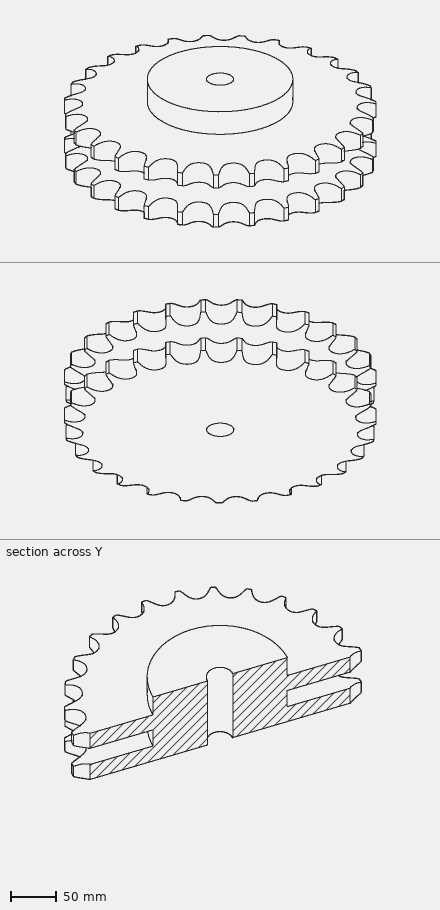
import cadquery as cq
import math


overall_width = 343.0
overall_height = 100.0
hub_diameter = 160.0
bore_diameter = 30.0

tooth_count = 27
chain_pitch = 38.0
disc_thickness = 24.0
disc_spacing = 48.5
disc_count = 2

seat_radius = 12.7
seat_angle = 52.8
working_radius = 33.3
working_angle = 15.9
flank_length = 3.5
topping_radius = 21.0
tip_land_half_angle = 0.9

side_round_start_radius = 154.3
side_round_radius = chain_pitch
blank_clearance = 1.7

tooth_step = 360.0 / tooth_count
first_tooth_angle = -90.0
pitch_radius = chain_pitch / 2 / math.sin(math.radians(tooth_step / 2))
root_radius = pitch_radius - seat_radius

tip_radius = overall_width / 2 / math.cos(math.radians(tooth_step / 4 - tip_land_half_angle))


def polar(radius, angle):
    """Point at a radius and an angle in degrees."""
    return radius * math.cos(math.radians(angle)), radius * math.sin(math.radians(angle))


def arc_step(radius, start_angle, end_angle):
    """Move across and up along a hollow arc, between two slopes in degrees."""
    start = math.radians(start_angle)
    end = math.radians(end_angle)
    return radius * (math.sin(end) - math.sin(start)), radius * (math.cos(start) - math.cos(end))


def gap_side_points():
    """Points up one side of a gap, as (distance from gap centre line, distance from axis)."""
    steep_angle = seat_angle + working_angle
    flank_slope = math.radians(steep_angle)
    moves = [
        arc_step(seat_radius, 0, seat_angle),
        arc_step(working_radius, seat_angle, seat_angle + working_angle / 2),
        arc_step(working_radius, seat_angle + working_angle / 2, steep_angle),
        (flank_length * math.cos(flank_slope), flank_length * math.sin(flank_slope)),
    ]
    across, up = 0, root_radius
    points = []
    for across_move, up_move in moves:
        across += across_move
        up += up_move
        points.append((across, up))
    return points


def place_side(points, gap_angle, side):
    """Turn gap points to a gap; side is 1 for the counterclockwise side and -1 for the other."""
    placed = []
    for across, up in points:
        turn = side * math.degrees(math.atan2(across, up))
        placed.append(polar(math.hypot(across, up), gap_angle + turn))
    return placed


def tooth_outline():
    """Closed outline of all the teeth, one gap and one tip land per step."""
    side_points = gap_side_points()
    tip_offset = tooth_step / 2 - tip_land_half_angle
    start_gap = first_tooth_angle + tooth_step / 2
    outline = cq.Workplane("XY").moveTo(*polar(tip_radius, start_gap - tip_offset))
    for index in range(tooth_count):
        gap = start_gap + index * tooth_step
        seat_end, working_middle, working_end, flank_end = place_side(side_points, gap, -1)
        outline = (
            outline
            .radiusArc(flank_end, -topping_radius)
            .lineTo(*working_end)
            .threePointArc(working_middle, seat_end)
        )
        seat_end, working_middle, working_end, flank_end = place_side(side_points, gap, 1)
        outline = (
            outline
            .threePointArc(polar(root_radius, gap), seat_end)
            .threePointArc(working_middle, working_end)
            .lineTo(*flank_end)
            .radiusArc(polar(tip_radius, gap + tip_offset), -topping_radius)
            .threePointArc(
                polar(tip_radius, gap + tooth_step / 2),
                polar(tip_radius, gap + tooth_step - tip_offset),
            )
        )
    return outline.close()


def rounded_blank():
    """Disc whose two faces curve in towards the rim."""
    def side_drop(radius):
        run = radius - side_round_start_radius
        return side_round_radius - math.sqrt(side_round_radius ** 2 - run ** 2)

    blank_radius = tip_radius + blank_clearance
    middle_radius = (side_round_start_radius + blank_radius) / 2
    rim_drop = side_drop(blank_radius)
    middle_drop = side_drop(middle_radius)
    return (
        cq.Workplane("XZ")
        .lineTo(side_round_start_radius, 0)
        .threePointArc((middle_radius, middle_drop), (blank_radius, rim_drop))
        .lineTo(blank_radius, disc_thickness - rim_drop)
        .threePointArc(
            (middle_radius, disc_thickness - middle_drop),
            (side_round_start_radius, disc_thickness),
        )
        .lineTo(0, disc_thickness)
        .close()
        .revolve(360, (0, 0, 0), (0, 1, 0))
    )


def toothed_disc():
    """One sprocket disc with its underside at Z = 0."""
    return tooth_outline().extrude(disc_thickness).intersect(rounded_blank())


hub = cq.Workplane("XY").circle(hub_diameter / 2).extrude(overall_height)
bore = cq.Workplane("XY").circle(bore_diameter / 2).extrude(overall_height)
disc = toothed_disc()

sprocket = hub
for disc_index in range(disc_count):
    sprocket = sprocket.union(disc.translate((0, 0, disc_index * disc_spacing)))

result = sprocket.cut(bore)